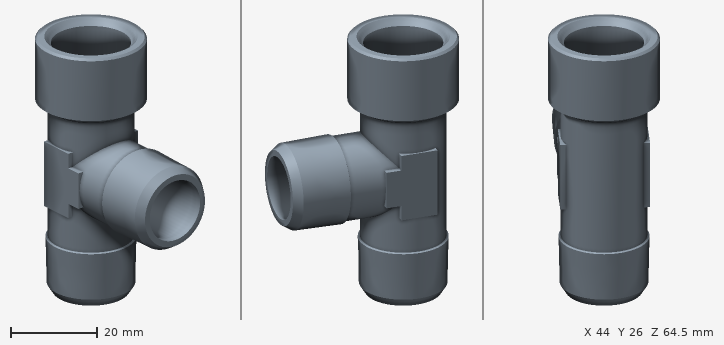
import cadquery as cq
import math

height = 64.5
arm_length = 30.95
body_radius = 20.1 / 2
bore_radius = 15.0 / 2

thread_length = 13.8
end_chamfer_length = 2.1
end_tip_radius = 8.95
thread_small_radius = 10.3
thread_large_radius = 10.6
shoulder_length = 0.2

socket_radius = 26.0 / 2
socket_length = 15.75
socket_neck_length = 1.8
socket_rim_chamfer = 0.5
socket_bore_radius = 18.65 / 2
socket_bore_depth = 16.8
socket_floor_angle = 30.0
countersink_radius = 21.7 / 2
countersink_depth = 1.55

pad_half_distance = 10.45
pad_half_width = 4.5
pad_height = 16.4
pad_arm_reach = 8.25


def revolve_profile(points):
    """Revolve (radius, height) points about the Z axis."""
    return cq.Workplane("XZ").polyline(points).close().revolve(360, (0, 0), (0, 1))


def toward_branch(shape):
    """Move a male arm standing on Z = 0 so that its tip faces +X."""
    return shape.translate((0, 0, -arm_length)).rotate((0, 0, 0), (0, 1, 0), -90).translate((0, 0, arm_length))


def male_arm():
    """Tapered threaded end with its plain shank, tip at Z = 0."""
    return revolve_profile([
        (0, 0),
        (end_tip_radius, 0),
        (thread_small_radius, end_chamfer_length),
        (thread_large_radius, thread_length),
        (body_radius, thread_length + shoulder_length),
        (body_radius, arm_length),
        (0, arm_length),
    ])


def socket_arm():
    """Upper half of the run, widening into the socket."""
    neck_top = height - socket_length
    return revolve_profile([
        (0, arm_length),
        (body_radius, arm_length),
        (body_radius, neck_top - socket_neck_length),
        (socket_radius, neck_top),
        (socket_radius, height - socket_rim_chamfer),
        (socket_radius - socket_rim_chamfer, height),
        (0, height),
    ])


def pads():
    """T-shaped block whose two Y faces stand proud of the body."""
    thickness = 2 * pad_half_distance
    upright = cq.Workplane("XY").box(2 * pad_half_width, thickness, pad_height)
    arm = cq.Workplane("XY").box(pad_arm_reach, thickness, 2 * pad_half_width, centered=(False, True, True))
    return upright.union(arm).translate((0, 0, arm_length))


def run_bore():
    """Through bore with the countersunk socket bore and its conical floor."""
    socket_floor = height - socket_bore_depth
    cone_length = (socket_bore_radius - bore_radius) * math.tan(math.radians(socket_floor_angle))
    return revolve_profile([
        (0, 0),
        (bore_radius, 0),
        (bore_radius, socket_floor - cone_length),
        (socket_bore_radius, socket_floor),
        (socket_bore_radius, height - countersink_depth),
        (countersink_radius, height),
        (0, height),
    ])


branch_bore = cq.Workplane("YZ").center(0, arm_length).circle(bore_radius).extrude(arm_length)

body = male_arm().union(socket_arm()).union(toward_branch(male_arm())).union(pads())
result = body.cut(run_bore()).cut(branch_bore)